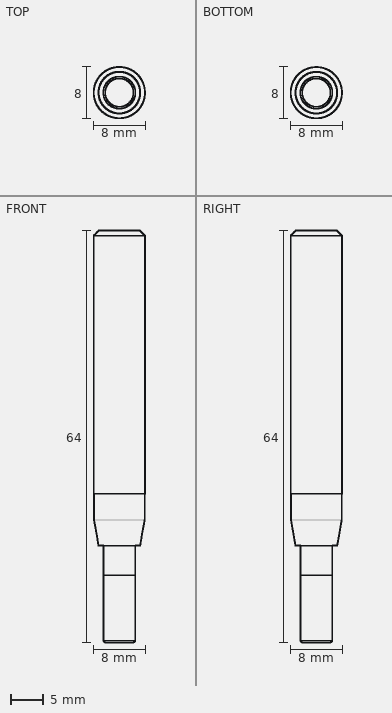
import cadquery as cq

total_length = 64.0
shank_start = 23.1
collar_start = 19.15
cone_start = 15.1
cutter_length = 10.5

shank_diameter = 8.0
shank_end_diameter = 6.4
collar_diameter = 7.95
cone_end_diameter = 6.5
cutter_diameter = 5.0

shank_chamfer = (shank_diameter - shank_end_diameter) / 2
tip_chamfer = 0.3

shank_radius = shank_diameter / 2
collar_radius = collar_diameter / 2
cone_end_radius = cone_end_diameter / 2
cutter_radius = cutter_diameter / 2


def revolve_profile(points):
    """Revolve a closed outline of (radius, height) points around the Z axis."""
    profile = cq.Workplane("YZ").polyline([(-radius, height) for radius, height in points]).close()
    return profile.revolve(360, (0, 0), (0, 1))


def make_cutter():
    """Cylindrical cutting end with a small chamfer at its tip."""
    return revolve_profile([
        (0, 0),
        (cutter_radius - tip_chamfer, 0),
        (cutter_radius, tip_chamfer),
        (cutter_radius, cutter_length),
        (0, cutter_length),
    ])


def make_holder():
    """Neck, tapered shoulder, collar and chamfered shank above the cutter."""
    return revolve_profile([
        (0, cutter_length),
        (cutter_radius, cutter_length),
        (cutter_radius, cone_start),
        (cone_end_radius, cone_start),
        (collar_radius, collar_start),
        (collar_radius, shank_start),
        (shank_radius, shank_start),
        (shank_radius, total_length - shank_chamfer),
        (shank_radius - shank_chamfer, total_length),
        (0, total_length),
    ])


cutter = make_cutter()
holder = make_holder()
result = cq.Compound.makeCompound([cutter.val(), holder.val()])